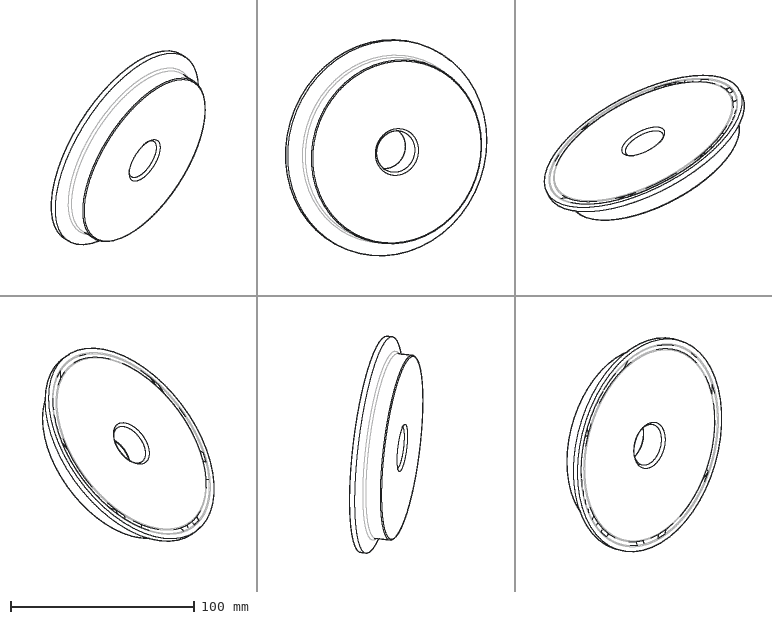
import cadquery as cq
import math

total_length = 15.88
flange_radius = 118.92 / 2
hub_radius = 101.6 / 2

rim_width = 2.95
cone_angle = math.radians(20)
neck_x = rim_width + (flange_radius - hub_radius) * math.tan(cone_angle)
neck_fillet = 1.59
hub_end_chamfer = 0.6

groove_radius = 55.05
groove_arc_radius = 1.4
groove_depth = 0.75
groove_lip_fillet = 0.8

bore_radius = 11.4
bore_chamfer = 1.5
bore_mouth_radius = bore_radius + bore_chamfer

axis_start = (0, 0, 0)
axis_end = (1, 0, 0)
match_tolerance = 0.01


def make_body():
    """Flange, hub and chamfered through bore, revolved about X."""
    profile = [
        (0, bore_mouth_radius),
        (0, flange_radius),
        (rim_width, flange_radius),
        (neck_x, hub_radius),
        (total_length - hub_end_chamfer, hub_radius),
        (total_length, hub_radius - hub_end_chamfer),
        (total_length, bore_mouth_radius),
        (total_length - bore_chamfer, bore_radius),
        (bore_chamfer, bore_radius),
    ]
    return cq.Workplane("XY").polyline(profile).close().revolve(360, axis_start, axis_end)


def circular_edge(body, x, radius):
    """The circular edge about the X axis at the given station and radius."""

    def matches(edge):
        same_station = abs(edge.Center().x - x) < match_tolerance
        return same_station and abs(edge.radius() - radius) < match_tolerance

    return body.edges("%CIRCLE").filter(matches)


def round_neck(body):
    """Fillet where the sloped flange back meets the hub."""
    return circular_edge(body, neck_x, hub_radius).fillet(neck_fillet)


def cut_groove(body):
    """Round-bottomed ring groove with rounded lips in the flange face."""
    arc_center_x = groove_depth - groove_arc_radius
    ring = cq.Solid.makeTorus(
        groove_radius,
        groove_arc_radius,
        cq.Vector(arc_center_x, 0, 0),
        cq.Vector(axis_end),
    )
    body = body.cut(cq.Workplane("XY").add(ring))
    half_width = math.sqrt(groove_arc_radius**2 - arc_center_x**2)
    for lip_radius in (groove_radius - half_width, groove_radius + half_width):
        body = circular_edge(body, 0, lip_radius).fillet(groove_lip_fillet)
    return body


result = cut_groove(round_neck(make_body()))